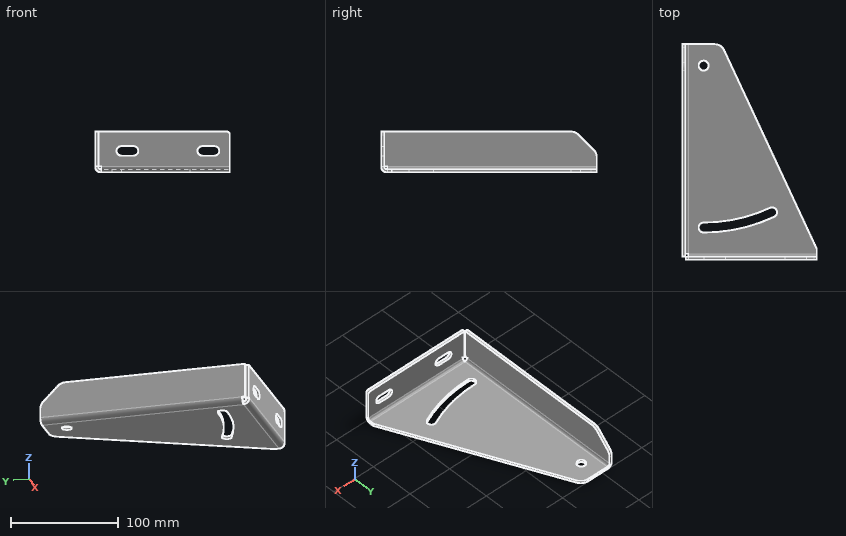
import cadquery as cq
import math

length_x = 125.0
length_y = 200.0
height = 38.0

sheet = 3.0
bend_outer_radius = 5.5
bend_inner_radius = bend_outer_radius - sheet
wall_gap = 0.5
end_wall_start = sheet + wall_gap

taper_angle = 25.0
taper_start_y = 10.0
taper_corner_radius = 10.0

hole_diameter = 9.0
pivot_x = 20.0
pivot_y = 180.0
arc_radius = 150.0
arc_sweep = 25.0

side_chamfer = 20.0
side_chamfer_radius = 10.0
end_corner_radius = 3.0

slot_length = 20.0
slot_width = 8.5
slot_z = 20.0
slot_centers_x = (30.0, 105.0)


def bent_flange(run):
    """Wall and bend in section, extruded along +Z by run; the wall rises along local Y."""
    return (
        cq.Workplane("XY")
        .moveTo(0, height)
        .lineTo(0, bend_outer_radius)
        .radiusArc((bend_outer_radius, 0), -bend_outer_radius)
        .lineTo(bend_outer_radius, sheet)
        .radiusArc((sheet, bend_outer_radius), bend_inner_radius)
        .lineTo(sheet, height)
        .close()
        .extrude(run)
    )


def trim_bend_end(flange, bend_start):
    """Cut the bend back to the corner notch, leaving the wall above it longer."""
    notch = cq.Workplane("XY").box(
        bend_outer_radius, bend_outer_radius, bend_start, centered=False
    )
    return flange.cut(notch)


def side_wall():
    flange = trim_bend_end(bent_flange(length_y - sheet), bend_outer_radius - sheet)
    wall = flange.rotate((0, 0, 0), (1, 0, 0), 90).mirror("XZ").translate((0, sheet, 0))
    chamfer = (
        cq.Workplane("YZ")
        .moveTo(length_y, height)
        .lineTo(length_y - side_chamfer, height)
        .lineTo(length_y, height - side_chamfer)
        .close()
        .extrude(sheet)
    )
    wall = wall.cut(chamfer)
    middle_x = sheet / 2
    for y, z in ((length_y - side_chamfer, height), (length_y, height - side_chamfer)):
        edge = cq.selectors.NearestToPointSelector((middle_x, y, z))
        wall = wall.edges("|X").edges(edge).fillet(side_chamfer_radius)
    return wall


def end_wall():
    run = length_x - end_wall_start
    flange = trim_bend_end(bent_flange(run), bend_outer_radius - end_wall_start)
    wall = (
        flange.rotate((0, 0, 0), (1, 0, 0), 90)
        .mirror("XZ")
        .rotate((0, 0, 0), (0, 0, 1), 90)
        .mirror("YZ")
        .translate((end_wall_start, 0, 0))
    )
    wall = wall.edges("|Y").edges(">X and >Z").fillet(end_corner_radius)
    slots = (
        cq.Workplane("XZ")
        .pushPoints([(x, slot_z) for x in slot_centers_x])
        .slot2D(slot_length, slot_width)
        .extrude(-sheet)
    )
    return wall.cut(slots)


def base_plate():
    far_edge_x = length_x - (length_y - taper_start_y) * math.tan(math.radians(taper_angle))
    plate = (
        cq.Workplane("XY")
        .moveTo(bend_outer_radius, bend_outer_radius)
        .lineTo(length_x, bend_outer_radius)
        .lineTo(length_x, taper_start_y)
        .lineTo(far_edge_x, length_y)
        .lineTo(bend_outer_radius, length_y)
        .close()
        .extrude(sheet)
    )
    corner = cq.selectors.NearestToPointSelector((far_edge_x, length_y, sheet / 2))
    plate = plate.edges("|Z").edges(corner).fillet(taper_corner_radius)
    hole = cq.Workplane("XY").center(pivot_x, pivot_y).circle(hole_diameter / 2).extrude(sheet)
    return plate.cut(hole).cut(arc_slot())


def arc_point(radius, angle):
    """Point around the pivot; the angle is measured from -Y towards +X."""
    turn = math.radians(angle)
    return pivot_x + radius * math.sin(turn), pivot_y - radius * math.cos(turn)


def arc_slot():
    inner = arc_radius - hole_diameter / 2
    outer = arc_radius + hole_diameter / 2
    end_radius = hole_diameter / 2
    band = (
        cq.Workplane("XY")
        .moveTo(*arc_point(inner, 0))
        .threePointArc(arc_point(inner, arc_sweep / 2), arc_point(inner, arc_sweep))
        .lineTo(*arc_point(outer, arc_sweep))
        .threePointArc(arc_point(outer, arc_sweep / 2), arc_point(outer, 0))
        .close()
        .extrude(sheet)
    )
    ends = (
        cq.Workplane("XY")
        .pushPoints([arc_point(arc_radius, 0), arc_point(arc_radius, arc_sweep)])
        .circle(end_radius)
        .extrude(sheet)
    )
    return band.union(ends)


result = base_plate().union(side_wall()).union(end_wall())